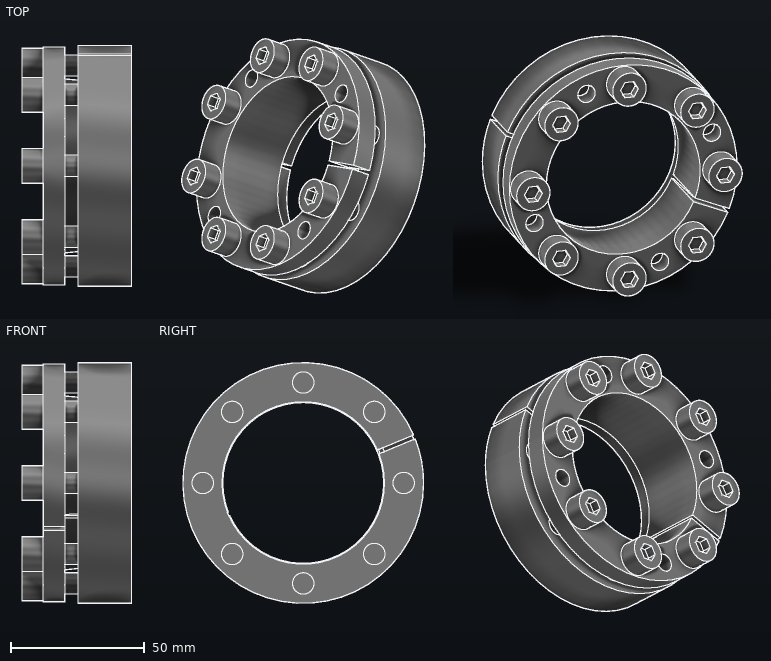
import cadquery as cq
import math


head_length = 7.9
flange_thickness = 8.2
ring_gap = 4.9
outer_ring_length = 20.05
hub_end_clearance = 5.0

flange_front = head_length
flange_back = flange_front + flange_thickness
ring_front = flange_back + ring_gap
ring_back = ring_front + outer_ring_length
hub_end = ring_back - hub_end_clearance

outer_ring_diameter = 89.9
flange_diameter = 88.9
bore_diameter = 60.0
taper_start_diameter = 65.0
taper_angle = 5.0
slit_width = 1.5
slit_angle = 22.5

screw_count = 8
screw_circle_radius = 37.5
shank_diameter = 8.0
head_diameter = 13.0
socket_sides = 6
socket_width = 6.0
socket_depth = 4.0
jacking_hole_count = 4
jacking_hole_diameter = 6.7
jacking_hole_angle = 90 - slit_angle


def taper_radius(x):
    """Radius of the shared cone, which narrows from the flange towards the back."""
    return taper_start_diameter / 2 - (x - flange_back) * math.tan(math.radians(taper_angle))


def disc(x_start, x_end, diameter, y=0.0, z=0.0):
    """Solid cylinder along X."""
    return (
        cq.Workplane("YZ", origin=(x_start, y, z))
        .circle(diameter / 2)
        .extrude(x_end - x_start)
    )


def revolve_about_x(profile):
    """Turn a closed outline of (x, radius) points around the X axis."""
    return cq.Workplane("XY").polyline(profile).close().revolve(360, (0, 0, 0), (1, 0, 0))


def circle_places(count, first_angle):
    """(y, z) places spaced evenly on the screw circle."""
    angles = [math.radians(first_angle + 360 / count * i) for i in range(count)]
    return [(screw_circle_radius * math.cos(a), screw_circle_radius * math.sin(a)) for a in angles]


def radial_slit(angle):
    """Cutter that opens a ring along one radius, the full length of the assembly."""
    return (
        cq.Workplane("XY")
        .box(ring_back, outer_ring_diameter, slit_width, centered=(False, False, True))
        .rotate((0, 0, 0), (1, 0, 0), angle)
    )


screw_places = circle_places(screw_count, 0)


def drill_screw_holes(ring):
    """Cut a hole for each screw shank through a ring."""
    for y, z in screw_places:
        ring = ring.cut(disc(flange_front, ring_back, shank_diameter, y, z))
    return ring


def make_inner_ring():
    """Flange and tapered hub, slit on one side."""
    ring = revolve_about_x([
        (flange_front, bore_diameter / 2),
        (flange_front, flange_diameter / 2),
        (flange_back, flange_diameter / 2),
        (flange_back, taper_radius(flange_back)),
        (hub_end, taper_radius(hub_end)),
        (hub_end, bore_diameter / 2),
    ])
    ring = drill_screw_holes(ring)
    for y, z in circle_places(jacking_hole_count, jacking_hole_angle):
        ring = ring.cut(disc(flange_front, flange_back, jacking_hole_diameter, y, z))
    return ring.cut(radial_slit(slit_angle + 180))


def make_outer_ring():
    """Plain ring with a tapered bore, slit opposite the slit of the inner ring."""
    ring = revolve_about_x([
        (ring_front, taper_radius(ring_front)),
        (ring_front, outer_ring_diameter / 2),
        (ring_back, outer_ring_diameter / 2),
        (ring_back, taper_radius(ring_back)),
    ])
    return drill_screw_holes(ring).cut(radial_slit(slit_angle))


def make_screw(y, z):
    """Socket head screw whose shank ends flush with the back of the outer ring."""
    head = disc(0, head_length, head_diameter, y, z)
    shank = disc(head_length, ring_back, shank_diameter, y, z)
    socket = (
        cq.Workplane("YZ", origin=(0, y, z))
        .polygon(socket_sides, socket_width / math.cos(math.pi / socket_sides))
        .extrude(socket_depth)
    )
    return head.union(shank).cut(socket)


inner_ring = make_inner_ring()
outer_ring = make_outer_ring()
screws = [make_screw(y, z) for y, z in screw_places]

result = cq.Compound.makeCompound(
    [inner_ring.val(), outer_ring.val(), *[screw.val() for screw in screws]]
)